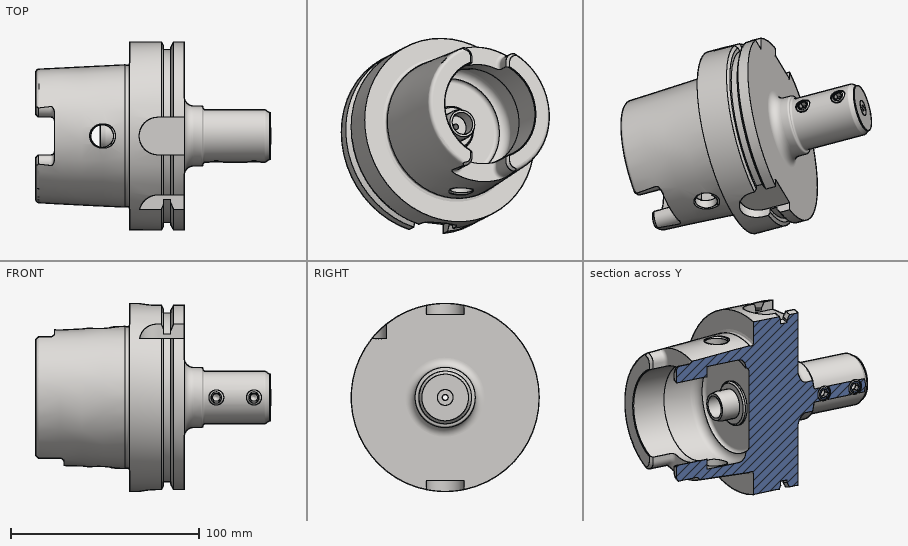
import cadquery as cq
import math

TAPER_LENGTH = 50.0
TAPER_GAUGE_DIAMETER = 75.0
TAPER_GAUGE_X = -10.0
TAPER_RATIO = 9.98
TAPER_END_FILLET = 2.0
UNDERCUT_DIAMETER = 75.3
UNDERCUT_START_X = -2.5
UNDERCUT_RAMP = 0.8
UNDERCUT_FILLET = 0.6
CONTACT_FACE_START_DIAMETER = 78.5
CONTACT_FACE_RELIEF = 0.3

FLANGE_DIAMETER = 100.0
FLANGE_WIDTH = 29.0
GROOVE_DIAMETER = 92.0
GROOVE_START_X = 17.9
GROOVE_END_X = 21.7
GROOVE_FRONT_CHAMFER = 1.1
GROOVE_REAR_CHAMFER = 1.65
GROOVE_CHAMFER_ANGLE = 60.0

HUB_DIAMETER = 32.0
HUB_END_X = 39.0
HUB_ROOT_FILLET = 5.0
HUB_EDGE_SIZE = 1.0
SHANK_DIAMETER = 28.0
SHANK_END_X = 74.9
SHANK_LAND_DIAMETER = 24.8
SHANK_LAND_LENGTH = 0.6
SHANK_CHAMFER_LENGTH = 2.3
SHANK_CHAMFER_FILLET = 0.8
NOZZLE_DIAMETER = 8.4
NOZZLE_END_X = 75.0

BORE_DIAMETER = 53.0
BORE_MOUTH_DIAMETER = 53.8
BORE_LENGTH = 20.0
CAVITY_DIAMETER = 63.0
CAVITY_WALL_END_X = -9.6
FLOOR_RECESS_DIAMETER = 53.8
FLOOR_RECESS_FILLET = 2.0

BOSS_DIAMETER = 24.0
BOSS_HEIGHT = 2.0
BOSS_CHAMFER = 0.9
TUBE_DIAMETER = 16.0
TUBE_END_X = -15.7
TUBE_NOSE_DIAMETER = 14.6
TUBE_NOSE_LENGTH = 3.1
TUBE_BORE_DIAMETER = 12.0
TUBE_BORE_DEPTH = 8.0
COOLANT_DIAMETER = 3.0

DRIVE_SLOT_WIDTH = 20.0
DRIVE_SLOT_TOP_DEPTH = 10.0
DRIVE_SLOT_BOTTOM_DEPTH = 15.0
DRIVE_SLOT_FLARE_Z = 27.3
DRIVE_SLOT_FLARE_RADIUS = 5.0
DRIVE_SLOT_FLOOR_FILLET = 2.0
DRIVE_SLOT_MOUTH_CHAMFER = 1.5
MOUTH_CHAMFER_ANGLE = 45.0

ACCESS_HOLE_DIAMETER = 12.0
ACCESS_HOLE_RIM_DIAMETER = 14.1
ACCESS_HOLE_X = -14.6

KEYWAY_WIDTH = 20.0
KEYWAY_START_X = 5.0
KEYWAY_FLOOR_Z = 44.0
NOTCH_FLOOR_Z = 31.3
NOTCH_WALL_Y = -31.3

SCREW_X_POSITIONS = (46.0, 66.0)
SCREW_DIAMETER = 8.0
SCREW_POINT_DIAMETER = 5.5
SCREW_CONE_HEIGHT = 1.0
SCREW_TIP_DEPTH = 0.1
SOCKET_HEX_DIAMETER = 4.62
SOCKET_DEPTH = 3.0
SOCKET_POINT_ANGLE = 120.0

TAPER_START_X = -TAPER_LENGTH
FLANGE_RADIUS = FLANGE_DIAMETER / 2
SHANK_RADIUS = SHANK_DIAMETER / 2
HUB_RADIUS = HUB_DIAMETER / 2
CLEARANCE = 10.0
CAVITY_CORNER_FILLET = (CAVITY_DIAMETER - FLOOR_RECESS_DIAMETER) / 2
FLOOR_RECESS_X = CAVITY_WALL_END_X + CAVITY_CORNER_FILLET
CAVITY_FLOOR_X = FLOOR_RECESS_X + FLOOR_RECESS_FILLET


def taper_radius(x):
    """Outer radius of the taper at a position along the axis."""
    return TAPER_GAUGE_DIAMETER / 2 + (x - TAPER_GAUGE_X) / (2 * TAPER_RATIO)


def revolve_about_x(profile):
    return profile.close().revolve(360, (0, 0, 0), (1, 0, 0))


def x_cylinder(diameter, start_x, length):
    return cq.Workplane("YZ", origin=(start_x, 0, 0)).circle(diameter / 2).extrude(length)


def x_cone(start_diameter, end_diameter, start_x, length):
    return cq.Workplane(
        cq.Solid.makeCone(
            start_diameter / 2, end_diameter / 2, length, cq.Vector(start_x, 0, 0), cq.Vector(1, 0, 0)
        )
    )


def make_taper():
    undercut_radius = UNDERCUT_DIAMETER / 2
    profile = (
        cq.Workplane("XY")
        .moveTo(TAPER_START_X, 0)
        .lineTo(TAPER_START_X, taper_radius(TAPER_START_X))
        .lineTo(UNDERCUT_START_X, taper_radius(UNDERCUT_START_X))
        .lineTo(UNDERCUT_START_X + UNDERCUT_RAMP, undercut_radius)
        .lineTo(-CONTACT_FACE_RELIEF - UNDERCUT_FILLET, undercut_radius)
        .radiusArc((-CONTACT_FACE_RELIEF, undercut_radius + UNDERCUT_FILLET), -UNDERCUT_FILLET)
        .lineTo(0, CONTACT_FACE_START_DIAMETER / 2)
        .lineTo(0, 0)
    )
    return revolve_about_x(profile).faces("<X").edges().fillet(TAPER_END_FILLET)


def make_flange():
    slope = math.tan(math.radians(GROOVE_CHAMFER_ANGLE))
    groove_radius = GROOVE_DIAMETER / 2
    profile = (
        cq.Workplane("XY")
        .moveTo(0, 0)
        .lineTo(0, FLANGE_RADIUS)
        .lineTo(GROOVE_START_X - GROOVE_FRONT_CHAMFER, FLANGE_RADIUS)
        .lineTo(GROOVE_START_X, FLANGE_RADIUS - GROOVE_FRONT_CHAMFER * slope)
        .lineTo(GROOVE_START_X, groove_radius)
        .lineTo(GROOVE_END_X, groove_radius)
        .lineTo(GROOVE_END_X, FLANGE_RADIUS - GROOVE_REAR_CHAMFER * slope)
        .lineTo(GROOVE_END_X + GROOVE_REAR_CHAMFER, FLANGE_RADIUS)
        .lineTo(FLANGE_WIDTH, FLANGE_RADIUS)
        .lineTo(FLANGE_WIDTH, 0)
    )
    return revolve_about_x(profile)


def make_shank():
    land_start_x = SHANK_END_X - SHANK_LAND_LENGTH
    chamfer_start_x = land_start_x - SHANK_CHAMFER_LENGTH
    profile = (
        cq.Workplane("XY")
        .moveTo(FLANGE_WIDTH, 0)
        .lineTo(FLANGE_WIDTH, HUB_RADIUS + HUB_ROOT_FILLET)
        .radiusArc((FLANGE_WIDTH + HUB_ROOT_FILLET, HUB_RADIUS), -HUB_ROOT_FILLET)
        .lineTo(HUB_END_X - HUB_EDGE_SIZE, HUB_RADIUS)
        .radiusArc((HUB_END_X, HUB_RADIUS - HUB_EDGE_SIZE), HUB_EDGE_SIZE)
        .radiusArc((HUB_END_X + HUB_EDGE_SIZE, SHANK_RADIUS), -HUB_EDGE_SIZE)
        .lineTo(chamfer_start_x, SHANK_RADIUS)
        .lineTo(land_start_x, SHANK_LAND_DIAMETER / 2)
        .lineTo(SHANK_END_X, SHANK_LAND_DIAMETER / 2)
        .lineTo(SHANK_END_X, NOZZLE_DIAMETER / 2)
        .lineTo(NOZZLE_END_X, NOZZLE_DIAMETER / 2)
        .lineTo(NOZZLE_END_X, 0)
    )
    chamfer_edge = cq.NearestToPointSelector((chamfer_start_x, 0, 0))
    return revolve_about_x(profile).edges(chamfer_edge).fillet(SHANK_CHAMFER_FILLET)


def make_cavity():
    """Clamping cavity: chamfered mouth, bore, wider undercut and a recessed floor with filleted corners."""
    bore_radius = BORE_DIAMETER / 2
    mouth_radius = BORE_MOUTH_DIAMETER / 2
    cavity_radius = CAVITY_DIAMETER / 2
    recess_radius = FLOOR_RECESS_DIAMETER / 2
    bore_end_x = TAPER_START_X + BORE_LENGTH
    profile = (
        cq.Workplane("XY")
        .moveTo(TAPER_START_X, 0)
        .lineTo(TAPER_START_X, mouth_radius)
        .lineTo(TAPER_START_X + mouth_radius - bore_radius, bore_radius)
        .lineTo(bore_end_x, bore_radius)
        .lineTo(bore_end_x, cavity_radius)
        .lineTo(CAVITY_WALL_END_X, cavity_radius)
        .radiusArc((FLOOR_RECESS_X, recess_radius), CAVITY_CORNER_FILLET)
        .radiusArc((CAVITY_FLOOR_X, recess_radius - FLOOR_RECESS_FILLET), FLOOR_RECESS_FILLET)
        .lineTo(CAVITY_FLOOR_X, 0)
    )
    return revolve_about_x(profile)


def make_coolant_tube():
    """Chamfered boss on the cavity floor carrying a tube with a tapered nose."""
    boss = x_cylinder(BOSS_DIAMETER, CAVITY_FLOOR_X - BOSS_HEIGHT, BOSS_HEIGHT)
    boss = boss.faces("<X").chamfer(BOSS_CHAMFER)
    nose_end_x = TUBE_END_X + TUBE_NOSE_LENGTH
    nose = x_cone(TUBE_NOSE_DIAMETER, TUBE_DIAMETER, TUBE_END_X, TUBE_NOSE_LENGTH)
    tube = x_cylinder(TUBE_DIAMETER, nose_end_x, CAVITY_FLOOR_X - nose_end_x)
    return boss.union(tube).union(nose)


def make_coolant_bore():
    bore = x_cylinder(TUBE_BORE_DIAMETER, TUBE_END_X, TUBE_BORE_DEPTH)
    return bore.union(x_cylinder(COOLANT_DIAMETER, TUBE_END_X, NOZZLE_END_X - TUBE_END_X))


def drive_slot_outline(x):
    """Slot cross-section: straight walls that flare outward on a convex arc."""
    half_width = DRIVE_SLOT_WIDTH / 2
    flare = DRIVE_SLOT_FLARE_RADIUS
    flare_y = half_width + flare
    flare_end_z = DRIVE_SLOT_FLARE_Z + flare
    base_z = BORE_DIAMETER / 4
    outer_z = FLANGE_RADIUS
    return (
        cq.Workplane("YZ", origin=(x, 0, 0))
        .moveTo(-half_width, base_z)
        .lineTo(half_width, base_z)
        .lineTo(half_width, DRIVE_SLOT_FLARE_Z)
        .radiusArc((flare_y, flare_end_z), flare)
        .lineTo(flare_y + CLEARANCE, flare_end_z)
        .lineTo(flare_y + CLEARANCE, outer_z)
        .lineTo(-flare_y - CLEARANCE, outer_z)
        .lineTo(-flare_y - CLEARANCE, flare_end_z)
        .lineTo(-flare_y, flare_end_z)
        .radiusArc((-half_width, DRIVE_SLOT_FLARE_Z), flare)
        .close()
    )


def make_drive_slot(depth):
    chamfer = DRIVE_SLOT_MOUTH_CHAMFER
    slot = drive_slot_outline(TAPER_START_X).extrude(depth)
    slot = slot.faces(">X").edges().fillet(DRIVE_SLOT_FLOOR_FILLET)
    mouth = drive_slot_outline(TAPER_START_X + chamfer).extrude(-chamfer, taper=-MOUTH_CHAMFER_ANGLE)
    return slot.union(mouth)


def make_access_hole():
    """Radial hole with a 45 degree countersink at the taper surface."""
    rim_radius = ACCESS_HOLE_RIM_DIAMETER / 2
    surface_z = taper_radius(ACCESS_HOLE_X)
    hole = (
        cq.Workplane("XY", origin=(ACCESS_HOLE_X, 0, TUBE_DIAMETER))
        .circle(ACCESS_HOLE_DIAMETER / 2)
        .extrude(FLANGE_RADIUS)
    )
    countersink = cq.Solid.makeCone(
        0, rim_radius, rim_radius, cq.Vector(ACCESS_HOLE_X, 0, surface_z - rim_radius)
    )
    return hole.union(cq.Workplane(countersink))


def make_round_ended_slot(center_y, floor_z):
    """Slot with a round inner end, open through the rear flange face and outward."""
    radius = KEYWAY_WIDTH / 2
    arc_center_x = KEYWAY_START_X + radius
    length = FLANGE_WIDTH - arc_center_x
    plane = cq.Workplane("XY", origin=(arc_center_x, center_y, floor_z))
    slot = plane.circle(radius).extrude(FLANGE_RADIUS)
    return slot.union(
        plane.rect(length, KEYWAY_WIDTH, centered=(False, True)).extrude(FLANGE_RADIUS)
    )


def make_screw_recess(x):
    """Clearance around the conical end of a set screw, plus its hexagon socket with a conical bottom."""
    tip_y = -SHANK_RADIUS + SCREW_TIP_DEPTH
    seat_y = tip_y + SCREW_CONE_HEIGHT
    socket_end_y = tip_y + SOCKET_DEPTH
    flat_radius = SOCKET_HEX_DIAMETER / 2 * math.cos(math.pi / 6)
    point_length = flat_radius / math.tan(math.radians(SOCKET_POINT_ANGLE / 2))
    inward = cq.Vector(0, 1, 0)
    screw_end = cq.Solid.makeCone(
        SCREW_POINT_DIAMETER / 2, SCREW_DIAMETER / 2, SCREW_CONE_HEIGHT, cq.Vector(x, tip_y, 0), inward
    )
    socket_point = cq.Solid.makeCone(flat_radius, 0, point_length, cq.Vector(x, socket_end_y, 0), inward)
    recess = cq.Workplane("XZ", origin=(x, seat_y, 0)).circle(SCREW_DIAMETER / 2).extrude(CLEARANCE)
    socket = cq.Workplane("XZ", origin=(x, tip_y, 0)).polygon(6, SOCKET_HEX_DIAMETER).extrude(-SOCKET_DEPTH)
    return recess.cut(cq.Workplane(screw_end)).union(socket).union(cq.Workplane(socket_point))


def turned_over(shape):
    return shape.rotate((0, 0, 0), (1, 0, 0), 180)


result = make_taper().union(make_flange()).union(make_shank())
result = result.cut(make_cavity()).union(make_coolant_tube()).cut(make_coolant_bore())

result = result.cut(make_drive_slot(DRIVE_SLOT_TOP_DEPTH))
result = result.cut(turned_over(make_drive_slot(DRIVE_SLOT_BOTTOM_DEPTH)))

access_hole = make_access_hole()
result = result.cut(access_hole).cut(turned_over(access_hole))

keyway = make_round_ended_slot(0, KEYWAY_FLOOR_Z)
result = result.cut(keyway).cut(turned_over(keyway))
result = result.cut(make_round_ended_slot(NOTCH_WALL_Y - KEYWAY_WIDTH / 2, NOTCH_FLOOR_Z))

for screw_x in SCREW_X_POSITIONS:
    result = result.cut(make_screw_recess(screw_x))